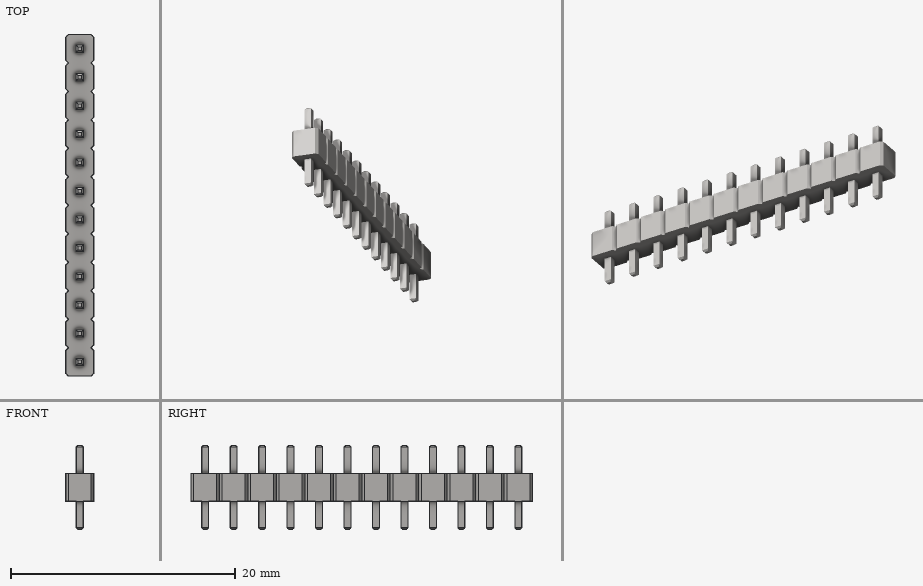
import cadquery as cq

PIN_COUNT = 12
ROW_LENGTH = 30.48
PITCH = ROW_LENGTH / PIN_COUNT

HOUSING_WIDTH = 2.53
HOUSING_HEIGHT = 2.5
CORNER_CHAMFER = 0.253

PIN_LENGTH = 7.5
PIN_WIDTH = 0.65
TIP_CHAMFER = 0.16


def housing_cell():
    """One housing block, centred on the origin, with its four vertical edges chamfered."""
    block = cq.Workplane("XY").box(HOUSING_WIDTH, PITCH, HOUSING_HEIGHT)
    return block.edges("|Z").chamfer(CORNER_CHAMFER)


def pin():
    """One square pin, centred on the origin, with all edges of both end faces chamfered."""
    bar = cq.Workplane("XY").box(PIN_WIDTH, PIN_WIDTH, PIN_LENGTH)
    return bar.faces("<Z or >Z").edges().chamfer(TIP_CHAMFER)


cell = housing_cell().union(pin())
first_cell_y = (PITCH - ROW_LENGTH) / 2
result = cell.translate((0, first_cell_y, 0))
for index in range(1, PIN_COUNT):
    result = result.union(cell.translate((0, first_cell_y + index * PITCH, 0)))
result = result.clean()